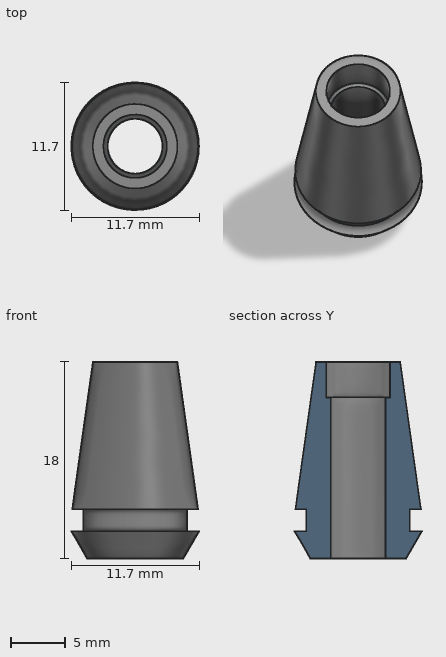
import cadquery as cq
import math

height = 18.0
flange_diameter = 11.7

flange_height = 2.5
flange_half_angle = 30.0
groove_height = 2.0
groove_diameter = 9.54
taper_top_diameter = 7.74
taper_half_angle = 8.0

through_diameter = 5.0
counterbore_diameter = 5.81
counterbore_depth = 3.24

groove_top = flange_height + groove_height
taper_height = height - groove_top
flange_radius = flange_diameter / 2
flange_bottom_radius = flange_radius - flange_height * math.tan(math.radians(flange_half_angle))
groove_radius = groove_diameter / 2
taper_top_radius = taper_top_diameter / 2
taper_base_radius = taper_top_radius + taper_height * math.tan(math.radians(taper_half_angle))


def make_body():
    """Revolve the outer half profile around the Z axis."""
    return (
        cq.Workplane("XZ")
        .moveTo(0, 0)
        .lineTo(flange_bottom_radius, 0)
        .lineTo(flange_radius, flange_height)
        .lineTo(groove_radius, flange_height)
        .lineTo(groove_radius, groove_top)
        .lineTo(taper_base_radius, groove_top)
        .lineTo(taper_top_radius, height)
        .lineTo(0, height)
        .close()
        .revolve(360, (0, 0, 0), (0, 1, 0))
    )


def cut_stepped_bore(body):
    """Cut the through hole and its wider upper step."""
    return body.faces(">Z").workplane().cboreHole(
        through_diameter, counterbore_diameter, counterbore_depth
    )


result = cut_stepped_bore(make_body())